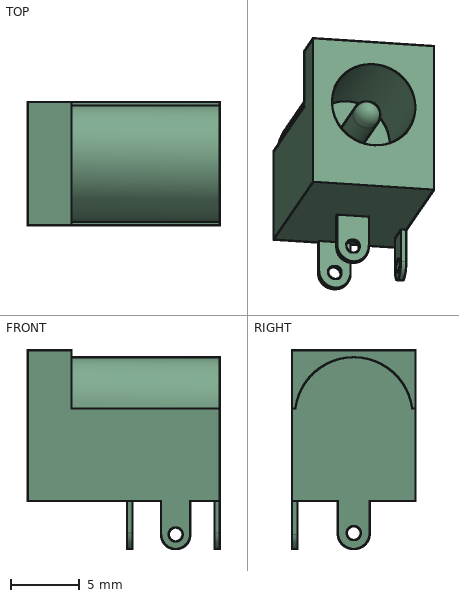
import cadquery as cq

length = 14.0
width = 9.0
total_height = 14.5
tab_length = 3.5
housing_height = total_height - tab_length
flange_length = 3.2
shoulder_drop = 4.25

barrel_top_drop = 0.51
axis_drop = 4.8
axis_height = housing_height - axis_drop
barrel_radius = axis_drop - barrel_top_drop
socket_diameter = 6.2
socket_depth = 8.99
pin_diameter = 2.0
pin_tip_setback = 1.5

tab_thickness = 0.4
tab_hole_diameter = 1.0
cross_tab_width = 2.35
side_tab_width = 2.15
middle_tab_x = 7.24
side_tab_x = 10.79
tab_overlap = 0.15


def cylinder_along_x(radius, start, end):
    plane = cq.Workplane("YZ", origin=(start, 0, axis_height))
    return plane.circle(radius).extrude(end - start)


def make_tab(tab_width):
    """Round-ended tab in the XZ plane, centred on X, thickness from Y = 0 towards +Y."""
    radius = tab_width / 2
    eye_height = radius - tab_length
    blade = (
        cq.Workplane("XZ")
        .moveTo(-radius, tab_overlap)
        .lineTo(-radius, eye_height)
        .threePointArc((0, -tab_length), (radius, eye_height))
        .lineTo(radius, tab_overlap)
        .close()
        .extrude(-tab_thickness)
    )
    eye = cq.Workplane("XZ").center(0, eye_height).circle(tab_hole_diameter / 2)
    return blade.cut(eye.extrude(-tab_thickness))


def make_housing():
    lower_height = housing_height - shoulder_drop
    base = cq.Workplane("XY").box(length, width, lower_height, centered=(False, True, False))
    flange = cq.Workplane("XY").box(
        flange_length, width, housing_height, centered=(False, True, False)
    )
    barrel = cylinder_along_x(barrel_radius, 0, length)
    return base.union(flange).union(barrel)


def make_pin():
    """Centre contact with a hemispherical tip, rooted in the socket floor."""
    radius = pin_diameter / 2
    tip_centre_x = pin_tip_setback + radius
    shank = cylinder_along_x(radius, tip_centre_x, socket_depth + tab_overlap)
    tip = cq.Workplane("XY").sphere(radius).translate((tip_centre_x, 0, axis_height))
    return shank.union(tip)


housing = make_housing().cut(cylinder_along_x(socket_diameter / 2, 0, socket_depth))
result = housing.union(make_pin())

cross_tab = make_tab(cross_tab_width).rotate((0, 0, 0), (0, 0, 1), -90)
for front_x in (middle_tab_x, length - tab_thickness):
    result = result.union(cross_tab.translate((front_x, 0, 0)))

result = result.union(make_tab(side_tab_width).translate((side_tab_x, -width / 2, 0)))